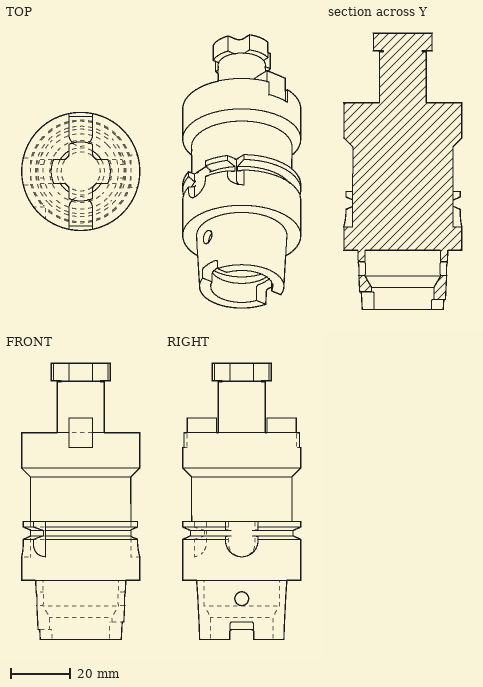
import cadquery as cq
import math

shank_length = 20.0
flange_height = 20.0
neck_top = 35.0
head_top = 50.0
arbor_top = 67.2
total_height = 93.45
screw_top = total_height - shank_length

flange_radius = 20.0
neck_radius = 17.0
arbor_radius = 8.0
head_chamfer = flange_radius - neck_radius

taper_on_radius = 1 / 20
shank_top_radius = 15.3
shank_end_radius = shank_top_radius - shank_length * taper_on_radius
chamber_radius = 12.75
mouth_radius = 10.5
mouth_length = 7.5
shoulder_angle = 30.0
shoulder_length = (chamber_radius - mouth_radius) / math.tan(math.radians(shoulder_angle))

groove_middle = 16.0
groove_radius = 17.4
groove_floor_width = 1.8
groove_mouth_width = 4.15

flange_slot_bottom = 8.0
flange_slot_floor = neck_radius
narrow_flange_slot_width = 9.0
wide_flange_slot_width = 11.0
index_notch_width = 9.0
index_notch_floor = 12.0
index_notch_offset = index_notch_floor + index_notch_width / 2

drive_slot_width = 8.0
drive_slot_corner = 0.8
shallow_drive_slot_depth = 3.4
deep_drive_slot_depth = 6.0
cross_hole_diameter = 4.6
cross_hole_z = -6.15

key_width = 8.0
key_inner = 8.5
key_outer = 18.5
key_bottom = 45.0
key_top = 55.0

screw_head_radius = 10.0
screw_head_thickness = 6.0
screw_arm_width = 8.0
screw_corner_radius = 2.0
screw_stem_radius = 6.6


def make_body():
    """Hollow shank, grooved flange, neck, head and arbor turned in one profile."""
    shoulder_z = mouth_length - shank_length
    floor_low = groove_middle - groove_floor_width / 2
    floor_high = groove_middle + groove_floor_width / 2
    mouth_low = groove_middle - groove_mouth_width / 2
    mouth_high = groove_middle + groove_mouth_width / 2
    profile = [
        (0, 0),
        (chamber_radius, 0),
        (chamber_radius, shoulder_z + shoulder_length),
        (mouth_radius, shoulder_z),
        (mouth_radius, -shank_length),
        (shank_end_radius, -shank_length),
        (shank_top_radius, 0),
        (flange_radius, 0),
        (flange_radius, mouth_low),
        (groove_radius, floor_low),
        (groove_radius, floor_high),
        (flange_radius, mouth_high),
        (flange_radius, flange_height),
        (neck_radius, flange_height),
        (neck_radius, neck_top),
        (flange_radius, neck_top + head_chamfer),
        (flange_radius, head_top),
        (arbor_radius, head_top),
        (arbor_radius, arbor_top),
        (0, arbor_top),
    ]
    half_plane = cq.Plane(origin=(0, 0, 0), xDir=(-1, 0, 0), normal=(0, 1, 0))
    return cq.Workplane(half_plane).polyline(profile).close().revolve(360, (0, 0), (0, 1))


def make_rim_slot(width, y_middle, x_floor, direction):
    """Round-bottomed slot open to the flange top and to the rim on one X side."""
    radius = width / 2
    round_z = flange_slot_bottom + radius
    return (
        cq.Workplane("YZ", origin=(direction * x_floor, y_middle, 0))
        .moveTo(-radius, flange_height)
        .lineTo(-radius, round_z)
        .threePointArc((0, flange_slot_bottom), (radius, round_z))
        .lineTo(radius, flange_height)
        .close()
        .extrude(direction * flange_radius)
    )


def make_drive_slot(depth, direction):
    """Slot in the shank end on one X side, with rounded upper corners."""
    return (
        cq.Workplane("XY", origin=(direction * flange_radius / 2, 0, -shank_length))
        .rect(flange_radius, drive_slot_width)
        .extrude(depth)
        .edges("|X and >Z")
        .fillet(drive_slot_corner)
    )


def make_cross_hole():
    """Hole along X right through the shank."""
    return (
        cq.Workplane("YZ", origin=(0, 0, cross_hole_z))
        .circle(cross_hole_diameter / 2)
        .extrude(flange_radius, both=True)
    )


def make_key_seat(side):
    """Seat for one drive key, open at the rim of the head."""
    seat_length = flange_radius - key_inner - key_width / 2
    return (
        cq.Workplane("XY", origin=(0, side * (flange_radius - seat_length / 2), key_bottom))
        .rect(key_width, seat_length)
        .extrude(head_top - key_bottom)
    )


def make_key(side):
    """Drive key with a full round at its inner end."""
    half = key_width / 2
    round_y = side * (key_inner + half)
    return (
        cq.Workplane("XY", origin=(0, 0, key_bottom))
        .moveTo(-half, side * key_outer)
        .lineTo(-half, round_y)
        .threePointArc((0, side * key_inner), (half, round_y))
        .lineTo(half, side * key_outer)
        .close()
        .extrude(key_top - key_bottom)
    )


def make_screw():
    """Cross-shaped head on a stem that reaches down to the arbor."""
    head_bottom = screw_top - screw_head_thickness
    span = 2 * screw_head_radius
    arm_along_x = cq.Workplane("XY").rect(span, screw_arm_width).extrude(screw_head_thickness)
    arm_along_y = cq.Workplane("XY").rect(screw_arm_width, span).extrude(screw_head_thickness)
    corner_reach = (screw_arm_width + screw_head_radius) / 2
    inner_corners = cq.selectors.BoxSelector(
        (-corner_reach, -corner_reach, 0),
        (corner_reach, corner_reach, screw_head_thickness),
    )
    cross = arm_along_x.union(arm_along_y).edges("|Z").edges(inner_corners).fillet(screw_corner_radius)
    disc = cq.Workplane("XY").circle(screw_head_radius).extrude(screw_head_thickness)
    head = cross.intersect(disc).translate((0, 0, head_bottom))
    stem = (
        cq.Workplane("XY", origin=(0, 0, arbor_top))
        .circle(screw_stem_radius)
        .extrude(head_bottom - arbor_top)
    )
    return head.union(stem)


result = make_body()
result = result.cut(make_rim_slot(narrow_flange_slot_width, 0, flange_slot_floor, -1))
result = result.cut(make_rim_slot(wide_flange_slot_width, 0, flange_slot_floor, 1))
result = result.cut(make_rim_slot(index_notch_width, -index_notch_offset, index_notch_floor, -1))
result = result.cut(make_drive_slot(shallow_drive_slot_depth, -1))
result = result.cut(make_drive_slot(deep_drive_slot_depth, 1))
result = result.cut(make_cross_hole())
for side in (-1, 1):
    result = result.cut(make_key_seat(side)).union(make_key(side))
result = result.union(make_screw())